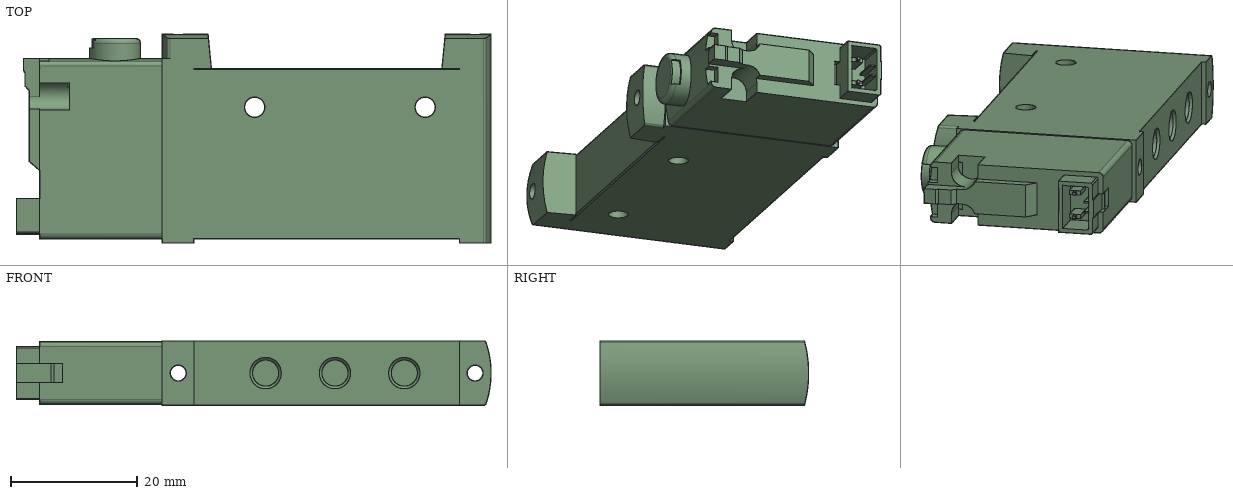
import cadquery as cq

LENGTH = 75.3
WIDTH = 33.1
THICKNESS = 10.25
HALF_WIDTH = WIDTH / 2
HALF_THICKNESS = THICKNESS / 2

PILOT_PLATE_X = 23.1
PLATE_LENGTH = 5.05
END_PLATE_X = LENGTH - PLATE_LENGTH
BLOCK_FRONT_Y = -15.9
BLOCK_BACK_Y = 11.15
BLOCK_BACK_CHAMFER = 0.2
CROWN_RISE = 0.7
END_BULGE = 0.9
END_CORNER_RADIUS = 0.45
EAR_TIP_REACH = 2.25
EAR_ROOT_REACH = 2.8
PLATE_HOLE_DIAMETER = 2.5
PLATE_HOLE_OFFSET = 2.5
PORT_DIAMETER = 4.15
PORT_MOUTH_DIAMETER = 5.0
PORT_CHAMFER = (PORT_MOUTH_DIAMETER - PORT_DIAMETER) / 2
PORT_DEPTH = 9.0
PORT_PITCH = 11.0
MIDDLE_PORT_X = 50.5
MOUNT_HOLE_DIAMETER = 3.2
MOUNT_HOLE_X = (37.8, 64.8)
MOUNT_HOLE_Y = 5.0

PILOT_X = 3.7
COVER_X = 8.4
PILOT_HALF_THICKNESS = 5.0
PILOT_BACK_Y = 12.7
PILOT_CROWN_RISE = 0.6
PILOT_CORNER_RADIUS = 0.75

BUTTON_DIAMETER = 8.1
BUTTON_X = 15.7
BUTTON_TOP_Y = 15.9
BUTTON_ROUND = 0.8
BUTTON_SINK = 1.5
BUTTON_NOTCH_WIDTH = 4.1
BUTTON_NOTCH_Y = 14.4
BUTTON_NOTCH_DEPTH = 0.4

BAR_X = 2.0
BAR_HALF_THICKNESS = 2.6
BAR_SHOULDER_Y = 7.6
BAR_SLOPE_Y = -3.6
BAR_END_Y = -5.05
TAB_HALF_THICKNESS = 1.2
TAB_TIP_X = 1.1
TAB_STEP_X = 1.35
TAB_TIP_Y = 10.85
TAB_STEP_Y = 10.4
TAB_SLOPE_Y = 8.35
GROOVE_WIDTH = 4.3
GROOVE_Y = 6.7
GROOVE_CENTRE_Z = TAB_HALF_THICKNESS + GROOVE_WIDTH / 2
LEDGE_WIDTH = 0.7
LEDGE_TOP_Z = 3.85
LEDGE_THICKNESS = 0.2
CORNER_NOTCH_Y = 11.15
CORNER_NOTCH_Z = (1.6, 4.1)
CORNER_NOTCH_DEPTH = 1.5

CONNECTOR_Y = (-15.05, -9.5)
CONNECTOR_HALF_THICKNESS = 4.2
CONNECTOR_CHAMFER = 0.2
CONNECTOR_WALL = 0.7
CONNECTOR_DEPTH = 5.3
PIN_Z = 1.95
PIN_Y = -11.75
PIN_BASE_WIDTH = 1.8
PIN_BASE_THICKNESS = 0.7
PIN_BASE_LENGTH = 3.4
PIN_SIZE = 0.45
PIN_LENGTH = 4.15
RIB_START_X = 0.7
RIB_Z = 0.8
RIB_THICKNESS = 0.2
RIB_HEIGHT = 0.9
LATCH_HALF_THICKNESS = 1.5
LATCH_Y = -15.2
LATCH_FLOOR_Y = -14.6
BARB_X = (5.5, 5.95)
BARB_Y = -15.7
LATCH_SLOT_END_X = 7.3
RELIEF_HALF_THICKNESS = 1.95
RELIEF_Y = -8.65
RELIEF_DEPTH = 1.5


def block(x, y, z):
    """Box between the two limits given for each axis."""
    size = (x[1] - x[0], y[1] - y[0], z[1] - z[0])
    return cq.Workplane("XY").box(*size, centered=False).translate((x[0], y[0], z[0]))


def crowned_bar(x, y, half_thickness, crown_rise):
    """Bar along X whose +Y face is an arc across the thickness."""
    return (
        cq.Workplane("YZ", origin=(x[0], 0, 0))
        .moveTo(y[1] - crown_rise, -half_thickness)
        .lineTo(y[0], -half_thickness)
        .lineTo(y[0], half_thickness)
        .lineTo(y[1] - crown_rise, half_thickness)
        .threePointArc((y[1], 0), (y[1] - crown_rise, -half_thickness))
        .close()
        .extrude(x[1] - x[0])
    )


def round_end_bar(end_x, flat_x, y):
    """Bar along Y with a bulging, corner-rounded face at end_x and a flat one at flat_x."""
    outward = 1 if end_x > flat_x else -1
    corner_x = end_x - outward * END_BULGE
    bar = (
        cq.Workplane("XZ", origin=(0, y[1], 0))
        .moveTo(flat_x, -HALF_THICKNESS)
        .lineTo(corner_x, -HALF_THICKNESS)
        .threePointArc((end_x, 0), (corner_x, HALF_THICKNESS))
        .lineTo(flat_x, HALF_THICKNESS)
        .close()
        .extrude(y[1] - y[0])
    )
    outer_edges = ">X" if outward > 0 else "<X"
    return bar.edges("|Y").edges(outer_edges).fillet(END_CORNER_RADIUS)


def y_cylinder(x, y, diameter):
    """Round bar along Y at mid thickness."""
    return (
        cq.Workplane("XZ", origin=(x, y[1], 0))
        .circle(diameter / 2)
        .extrude(y[1] - y[0])
    )


def ear(root_x, direction):
    """Tapered overhang of a plate behind the block, reaching from root_x in the given direction."""
    return (
        cq.Workplane("XY", origin=(0, 0, -HALF_THICKNESS))
        .moveTo(root_x, BLOCK_BACK_Y)
        .lineTo(root_x + direction * EAR_ROOT_REACH, BLOCK_BACK_Y)
        .lineTo(root_x + direction * EAR_TIP_REACH, HALF_WIDTH)
        .lineTo(root_x, HALF_WIDTH)
        .close()
        .extrude(THICKNESS)
    )


def make_valve():
    """Ported block with its pilot plate and end plate."""
    block_x = (PILOT_PLATE_X + PLATE_LENGTH, END_PLATE_X)
    full_z = (-HALF_THICKNESS, HALF_THICKNESS)
    body = block(block_x, (BLOCK_FRONT_Y, BLOCK_BACK_Y), full_z)
    body = body.edges("|X and >Y").chamfer(BLOCK_BACK_CHAMFER)

    pilot_plate = block((PILOT_PLATE_X, block_x[0]), (-HALF_WIDTH, PILOT_BACK_Y), full_z)
    pilot_plate = pilot_plate.union(round_end_bar(PILOT_PLATE_X, block_x[0], (PILOT_BACK_Y, HALF_WIDTH)))
    pilot_plate = pilot_plate.union(ear(block_x[0], 1))
    end_plate = round_end_bar(LENGTH, END_PLATE_X, (-HALF_WIDTH, HALF_WIDTH))
    end_plate = end_plate.union(ear(END_PLATE_X, -1))

    crown = crowned_bar((PILOT_PLATE_X, LENGTH), (-HALF_WIDTH, HALF_WIDTH), HALF_THICKNESS, CROWN_RISE)
    valve = body.union(pilot_plate.intersect(crown)).union(end_plate.intersect(crown))

    for hole_x in (block_x[0] - PLATE_HOLE_OFFSET, END_PLATE_X + PLATE_HOLE_OFFSET):
        valve = valve.cut(y_cylinder(hole_x, (-HALF_WIDTH, HALF_WIDTH), PLATE_HOLE_DIAMETER))

    for hole_x in MOUNT_HOLE_X:
        hole = cq.Workplane("XY", origin=(hole_x, MOUNT_HOLE_Y, -HALF_THICKNESS))
        valve = valve.cut(hole.circle(MOUNT_HOLE_DIAMETER / 2).extrude(THICKNESS))

    for step in (-1, 0, 1):
        port_x = MIDDLE_PORT_X + step * PORT_PITCH
        port = y_cylinder(port_x, (BLOCK_FRONT_Y, BLOCK_FRONT_Y + PORT_DEPTH), PORT_DIAMETER)
        mouth = cq.Solid.makeCone(
            PORT_MOUTH_DIAMETER / 2,
            PORT_DIAMETER / 2,
            PORT_CHAMFER,
            pnt=cq.Vector(port_x, BLOCK_FRONT_Y, 0),
            dir=cq.Vector(0, 1, 0),
        )
        valve = valve.cut(port).cut(mouth)
    return valve


def make_button():
    """Rounded override button with a shallow recess in its rim toward the cap."""
    button_y = (PILOT_BACK_Y - BUTTON_SINK, BUTTON_TOP_Y)
    button = y_cylinder(BUTTON_X, button_y, BUTTON_DIAMETER)
    button = button.faces(">Y").edges().fillet(BUTTON_ROUND)
    half_notch = BUTTON_NOTCH_WIDTH / 2
    notch = block(
        (BUTTON_X - BUTTON_DIAMETER / 2, BUTTON_X),
        (BUTTON_NOTCH_Y, BUTTON_TOP_Y),
        (-half_notch, half_notch),
    )
    core = y_cylinder(BUTTON_X, button_y, BUTTON_DIAMETER - 2 * BUTTON_NOTCH_DEPTH)
    return button.cut(notch.cut(core))


def make_clip_bar():
    """Bar on the cap face that narrows to a stepped tab at the back."""
    bar = (
        cq.Workplane("XY", origin=(0, 0, -BAR_HALF_THICKNESS))
        .moveTo(PILOT_X, BAR_END_Y)
        .lineTo(BAR_X, BAR_SLOPE_Y)
        .lineTo(BAR_X, GROOVE_Y)
        .lineTo(PILOT_X, GROOVE_Y)
        .close()
        .extrude(2 * BAR_HALF_THICKNESS)
    )
    tab = (
        cq.Workplane("XY", origin=(0, 0, -TAB_HALF_THICKNESS))
        .moveTo(PILOT_X, GROOVE_Y)
        .lineTo(BAR_X, GROOVE_Y)
        .lineTo(BAR_X, BAR_SHOULDER_Y)
        .lineTo(TAB_STEP_X, TAB_SLOPE_Y)
        .lineTo(TAB_STEP_X, TAB_STEP_Y)
        .lineTo(TAB_TIP_X, TAB_TIP_Y)
        .lineTo(TAB_TIP_X, PILOT_BACK_Y)
        .lineTo(PILOT_X, PILOT_BACK_Y)
        .close()
        .extrude(2 * TAB_HALF_THICKNESS)
    )
    return bar.union(tab)


def wire_groove(side):
    """U-shaped groove along X through the cap, open at the given Z side (1 or -1)."""
    half_width = GROOVE_WIDTH / 2
    return (
        cq.Workplane("YZ")
        .moveTo(GROOVE_Y - half_width, side * HALF_THICKNESS)
        .lineTo(GROOVE_Y - half_width, side * GROOVE_CENTRE_Z)
        .threePointArc((GROOVE_Y, side * TAB_HALF_THICKNESS), (GROOVE_Y + half_width, side * GROOVE_CENTRE_Z))
        .lineTo(GROOVE_Y + half_width, side * HALF_THICKNESS)
        .close()
        .extrude(COVER_X)
    )


def z_limits(side, inner, outer):
    """Z limits between two distances from mid thickness, on the given side."""
    return sorted((side * inner, side * outer))


def add_connector(pilot):
    """Open connector shell with two pins, and the barbed latch in its slot on the front of the cap."""
    front_y, back_y = CONNECTOR_Y
    slot_z = (-LATCH_HALF_THICKNESS, LATCH_HALF_THICKNESS)

    pilot = pilot.cut(block((PILOT_X, LATCH_SLOT_END_X), (BLOCK_FRONT_Y, LATCH_FLOOR_Y), slot_z))
    relief_z = (-RELIEF_HALF_THICKNESS, RELIEF_HALF_THICKNESS)
    pilot = pilot.cut(block((PILOT_X, PILOT_X + RELIEF_DEPTH), (back_y, RELIEF_Y), relief_z))

    shell_z = (-CONNECTOR_HALF_THICKNESS, CONNECTOR_HALF_THICKNESS)
    shell = block((0, PILOT_X + RELIEF_DEPTH), CONNECTOR_Y, shell_z)
    shell = shell.edges("|X").edges("<Y").chamfer(CONNECTOR_CHAMFER)
    latch = block((0, BARB_X[1]), (LATCH_Y, LATCH_FLOOR_Y), slot_z)
    latch = latch.union(block(BARB_X, (BARB_Y, LATCH_FLOOR_Y), slot_z))

    inner_y = (front_y + CONNECTOR_WALL, back_y - CONNECTOR_WALL)
    inner_half = CONNECTOR_HALF_THICKNESS - CONNECTOR_WALL
    cavity = block((0, CONNECTOR_DEPTH), inner_y, (-inner_half, inner_half))
    cavity = cavity.edges("|X").edges("<Y").chamfer(CONNECTOR_CHAMFER)
    pilot = pilot.union(shell).union(latch).cut(cavity)

    for side in (-1, 1):
        pilot = pilot.union(make_pin(side * PIN_Z))
        rib_z = z_limits(side, RIB_Z - RIB_THICKNESS / 2, RIB_Z + RIB_THICKNESS / 2)
        rib_y = (inner_y[0], inner_y[0] + RIB_HEIGHT)
        pilot = pilot.union(block((RIB_START_X, CONNECTOR_DEPTH), rib_y, rib_z))
    return pilot


def make_pin(z):
    """Square connector pin on a flat base, standing on the floor of the connector."""
    base = cq.Workplane("YZ", origin=(CONNECTOR_DEPTH, PIN_Y, z))
    pin = base.rect(PIN_BASE_WIDTH, PIN_BASE_THICKNESS).extrude(-PIN_BASE_LENGTH)
    return pin.union(base.rect(PIN_SIZE, PIN_SIZE).extrude(-PIN_LENGTH))


def make_pilot():
    """Coil cover and cap with the button, clip bar and connector."""
    pilot = crowned_bar(
        (PILOT_X, PILOT_PLATE_X), (BLOCK_FRONT_Y, PILOT_BACK_Y), PILOT_HALF_THICKNESS, PILOT_CROWN_RISE
    )
    pilot = pilot.edges("|X").fillet(PILOT_CORNER_RADIUS)
    pilot = pilot.union(make_button()).union(make_clip_bar())

    groove_back_y = GROOVE_Y + GROOVE_WIDTH / 2
    for side in (-1, 1):
        pilot = pilot.cut(wire_groove(side))
        ledge_z = z_limits(side, TAB_HALF_THICKNESS, LEDGE_TOP_Z)
        ledge_y = (groove_back_y - LEDGE_WIDTH, groove_back_y)
        pilot = pilot.union(block((COVER_X - LEDGE_THICKNESS, COVER_X), ledge_y, ledge_z))
        notch_x = (PILOT_X, PILOT_X + CORNER_NOTCH_DEPTH)
        pilot = pilot.cut(block(notch_x, (CORNER_NOTCH_Y, PILOT_BACK_Y), z_limits(side, *CORNER_NOTCH_Z)))
    return add_connector(pilot)


valve = make_valve()
pilot = make_pilot()
result = cq.Compound.makeCompound([*valve.solids().vals(), *pilot.solids().vals()])